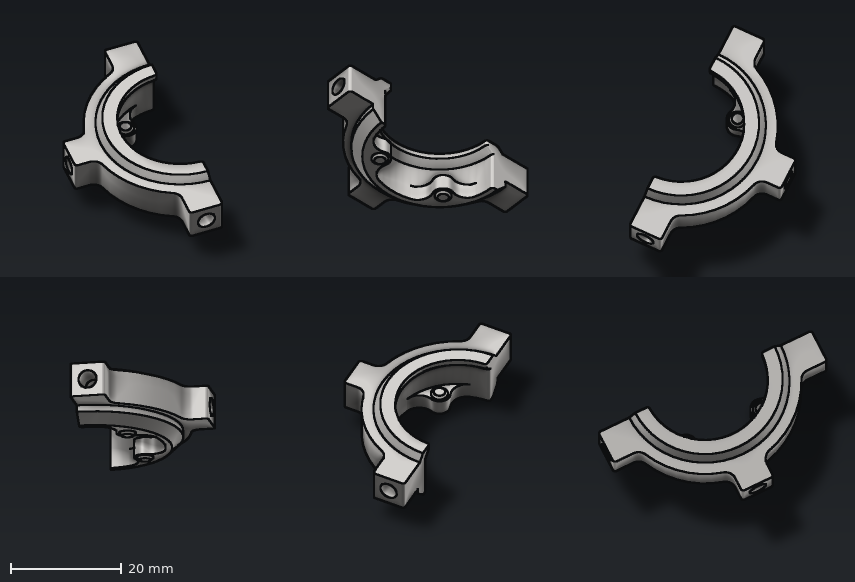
import cadquery as cq
import math

FLANGE_HEIGHT = 3.22
LUG_HEIGHT = 6.25
COLLAR_HEIGHT = 1.25
LUG_TOP = FLANGE_HEIGHT + LUG_HEIGHT
RING_TOP = LUG_TOP + COLLAR_HEIGHT

FLANGE_RADIUS = 16.0
FLANGE_CHAMFER = 2.0
BAND_RADIUS = 17.5
COLLAR_RADIUS = 15.35
COLLAR_TOP_RADIUS = COLLAR_RADIUS - COLLAR_HEIGHT

LIP_RADIUS = 11.4
CAVITY_RADIUS = 12.8
LIP_THICKNESS = COLLAR_HEIGHT
LIP_BOTTOM = RING_TOP - LIP_THICKNESS
CAVITY_TOP = LIP_BOTTOM - (CAVITY_RADIUS - LIP_RADIUS)
BORE_CORNER_RADIUS = 0.5

LUG_REACH = 21.6
LUG_WIDTH = 6.4
LUG_CORNER_RADIUS = 0.5
LUG_ROOT_RADIUS = 2.0
HOLE_DIAMETER = 3.3
HOLE_DEPTH = 6.0
DRILL_POINT_ANGLE = 118.0

BOSS_CIRCLE_RADIUS = 10.8
BOSS_ANGLES = (-135.0, -45.0)
BOSS_RADIUS = 2.0
BOSS_ROOT_RADIUS = 3.0
BOSS_HEIGHT = FLANGE_HEIGHT

PIN_RADIUS = 1.55
PIN_TIP_RADIUS = 1.05
PIN_STEP_RADIUS = 1.28
PIN_STEP_HEIGHT = 0.2
PIN_PROTRUSION = 0.5

SELECT_MARGIN = 0.1


def on_circle(radius, angle):
    """Point at the given radius and angle in degrees about the Z axis."""
    turn = math.radians(angle)
    return (radius * math.cos(turn), radius * math.sin(turn))


def half_turn(points):
    """Turn an (r, z) profile through the half circle from -X by -Y to +X."""
    profile = cq.Workplane("XZ").polyline(points).close()
    return profile.revolve(180, (0, 0), (0, -1))


def make_shell():
    """Stepped outside of the half ring, without the lugs."""
    return half_turn([
        (0, 0),
        (FLANGE_RADIUS - FLANGE_CHAMFER, 0),
        (FLANGE_RADIUS, FLANGE_CHAMFER),
        (FLANGE_RADIUS, LUG_TOP),
        (COLLAR_RADIUS, LUG_TOP),
        (COLLAR_TOP_RADIUS, RING_TOP),
        (0, RING_TOP),
    ])


def make_lugged_band():
    """Middle band of the half ring with its three lugs and their blends."""
    half_width = LUG_WIDTH / 2
    band = half_turn([
        (0, FLANGE_HEIGHT),
        (BAND_RADIUS, FLANGE_HEIGHT),
        (BAND_RADIUS, LUG_TOP),
        (0, LUG_TOP),
    ])
    base = cq.Workplane("XY", origin=(0, 0, FLANGE_HEIGHT))
    end_lugs = base.center(0, -half_width).rect(2 * LUG_REACH, LUG_WIDTH).extrude(LUG_HEIGHT)
    middle_lug = base.center(0, -LUG_REACH / 2).rect(LUG_WIDTH, LUG_REACH).extrude(LUG_HEIGHT)
    end_lugs = end_lugs.edges("|Z").fillet(LUG_CORNER_RADIUS)
    middle_lug = middle_lug.edges("|Z and <Y").fillet(LUG_CORNER_RADIUS)
    lugged = band.union(end_lugs).union(middle_lug)

    end_root = (math.sqrt(BAND_RADIUS**2 - LUG_WIDTH**2), -LUG_WIDTH)
    middle_root = (half_width, -math.sqrt(BAND_RADIUS**2 - half_width**2))
    middle_height = (FLANGE_HEIGHT + LUG_TOP) / 2
    for x, y in (end_root, middle_root):
        for side in (-1, 1):
            root = cq.selectors.NearestToPointSelector((side * x, y, middle_height))
            lugged = lugged.edges("|Z").edges(root).fillet(LUG_ROOT_RADIUS)
    return lugged


def make_bore():
    """Material to remove from inside the half ring."""
    return half_turn([
        (0, 0),
        (CAVITY_RADIUS, 0),
        (CAVITY_RADIUS, CAVITY_TOP),
        (LIP_RADIUS, LIP_BOTTOM),
        (LIP_RADIUS, RING_TOP),
        (0, RING_TOP),
    ])


def make_lug_hole(angle, centre):
    """Blind drilled hole with a pointed end, running into a lug along an angle."""
    radius = HOLE_DIAMETER / 2
    point_depth = radius / math.tan(math.radians(DRILL_POINT_ANGLE / 2))
    hole = (
        cq.Workplane("XY")
        .polyline([(0, 0), (radius, 0), (radius, HOLE_DEPTH), (0, HOLE_DEPTH + point_depth)])
        .close()
        .revolve(360, (0, 0), (0, 1))
    )
    return hole.rotate((0, 0, 0), (0, 0, 1), angle).translate(centre)


def make_boss(angle):
    """Round boss on the cavity wall, flared into the wall by tangent arcs.

    Built along +X and then turned to its angle.
    """
    to_boss = BOSS_RADIUS + BOSS_ROOT_RADIUS
    to_axis = CAVITY_RADIUS - BOSS_ROOT_RADIUS
    flare_x = (to_axis**2 - to_boss**2 + BOSS_CIRCLE_RADIUS**2) / (2 * BOSS_CIRCLE_RADIUS)
    flare_y = math.sqrt(to_axis**2 - flare_x**2)

    boss_share = BOSS_RADIUS / to_boss
    boss_x = BOSS_CIRCLE_RADIUS + (flare_x - BOSS_CIRCLE_RADIUS) * boss_share
    boss_y = flare_y * boss_share
    wall_x = flare_x * CAVITY_RADIUS / to_axis
    wall_y = flare_y * CAVITY_RADIUS / to_axis

    chord_x = (boss_x + wall_x) / 2 - flare_x
    chord_y = (boss_y + wall_y) / 2 - flare_y
    reach = BOSS_ROOT_RADIUS / math.hypot(chord_x, chord_y)
    middle_x = flare_x + chord_x * reach
    middle_y = flare_y + chord_y * reach

    boss = (
        cq.Workplane("XY")
        .moveTo(boss_x, boss_y)
        .threePointArc((BOSS_CIRCLE_RADIUS - BOSS_RADIUS, 0), (boss_x, -boss_y))
        .threePointArc((middle_x, -middle_y), (wall_x, -wall_y))
        .threePointArc((CAVITY_RADIUS, 0), (wall_x, wall_y))
        .threePointArc((middle_x, middle_y), (boss_x, boss_y))
        .close()
        .extrude(BOSS_HEIGHT)
    )
    return boss.rotate((0, 0, 0), (0, 0, 1), angle)


def make_housing():
    """Half ring with lugs, bore, lug holes and bosses drilled for the pins."""
    housing = make_shell().union(make_lugged_band()).cut(make_bore())

    zone_x = CAVITY_RADIUS + SELECT_MARGIN
    corner_zone = cq.selectors.BoxSelector(
        (-zone_x, -SELECT_MARGIN, SELECT_MARGIN),
        (zone_x, SELECT_MARGIN, RING_TOP - SELECT_MARGIN),
    )
    housing = housing.edges(corner_zone).fillet(BORE_CORNER_RADIUS)

    hole_height = FLANGE_HEIGHT + LUG_HEIGHT / 2
    lug_centre_y = -LUG_WIDTH / 2
    housing = housing.cut(make_lug_hole(-90, (-LUG_REACH, lug_centre_y, hole_height)))
    housing = housing.cut(make_lug_hole(90, (LUG_REACH, lug_centre_y, hole_height)))
    housing = housing.cut(make_lug_hole(0, (0, -LUG_REACH, hole_height)))

    for angle in BOSS_ANGLES:
        pin_hole = cq.Workplane("XY").center(*on_circle(BOSS_CIRCLE_RADIUS, angle))
        housing = housing.union(make_boss(angle))
        housing = housing.cut(pin_hole.circle(PIN_RADIUS).extrude(BOSS_HEIGHT))
    return housing


def make_pin(angle):
    """Pin filling its boss hole, with a tapered tip at each end."""
    pin = (
        cq.Workplane("XZ")
        .polyline([
            (0, -PIN_PROTRUSION),
            (PIN_TIP_RADIUS, -PIN_PROTRUSION),
            (PIN_STEP_RADIUS, -PIN_STEP_HEIGHT),
            (PIN_RADIUS, 0),
            (PIN_RADIUS, BOSS_HEIGHT),
            (PIN_STEP_RADIUS, BOSS_HEIGHT + PIN_STEP_HEIGHT),
            (PIN_TIP_RADIUS, BOSS_HEIGHT + PIN_PROTRUSION),
            (0, BOSS_HEIGHT + PIN_PROTRUSION),
        ])
        .close()
        .revolve(360, (0, 0), (0, 1))
    )
    return pin.translate((*on_circle(BOSS_CIRCLE_RADIUS, angle), 0))


housing = make_housing()
pins = [make_pin(angle).val() for angle in BOSS_ANGLES]

result = cq.Compound.makeCompound([housing.val(), *pins])